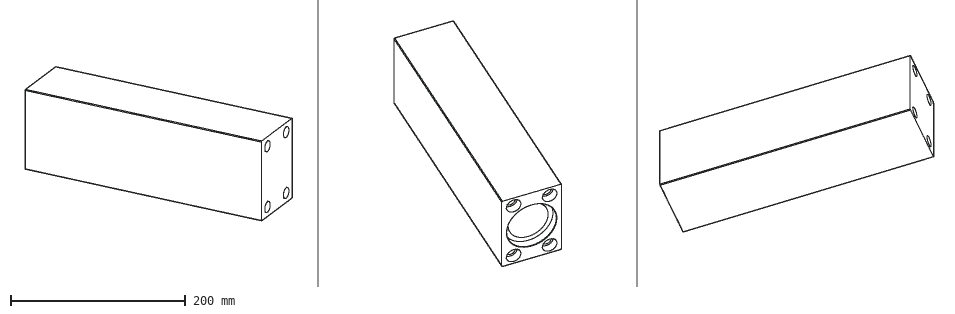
import cadquery as cq

length = 307.0
width = 75.0
height = 100.0
edge_chamfer = 1.0

bore_diameter = 50.0
seat_diameter = 62.0
mouth_diameter = 63.0
end_wall = 25.0
bore_depth = length - end_wall

hole_diameter = 13.0
counterbore_diameter = 18.0
hole_spacing_y = 45.0
hole_spacing_z = 76.0

recess_depth = 10.0


def make_block():
    """Rectangular block with chamfered long edges, starting at X = 0."""
    block = cq.Workplane("XY").box(length, width, height, centered=(False, True, True))
    return block.edges("|X").chamfer(edge_chamfer)


def cylinder_from_open_end(diameter, depth):
    """Cylinder on the block's axis, reaching from the open end into the block."""
    return cq.Workplane("YZ").circle(diameter / 2).extrude(depth)


def make_main_bore():
    """Volume removed by the bore, its seat and the mouth chamfer."""
    bore = cylinder_from_open_end(bore_diameter, bore_depth)
    seat = cylinder_from_open_end(seat_diameter, recess_depth)
    chamfer_size = (mouth_diameter - seat_diameter) / 2
    mouth = cq.Workplane(cq.Solid.makeCone(
        mouth_diameter / 2,
        seat_diameter / 2,
        chamfer_size,
        dir=cq.Vector(1, 0, 0),
    ))
    return bore.union(seat).union(mouth)


def cut_corner_holes(body):
    """Four counterbored through holes around the bore."""
    open_face = body.faces("<X").workplane(origin=(0, 0, 0))
    corners = open_face.rect(hole_spacing_y, hole_spacing_z, forConstruction=True).vertices()
    return corners.cboreHole(hole_diameter, counterbore_diameter, recess_depth)


result = cut_corner_holes(make_block().cut(make_main_bore()))